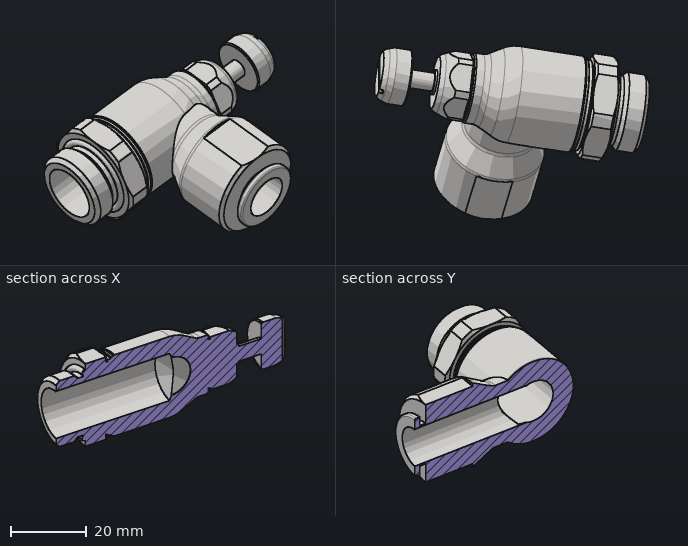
import cadquery as cq
import math

LENGTH = 71.0

THREAD_RADIUS = 10.5
THREAD_END = 5.7
THREAD_CHAMFER = 1.15
NECK_RADIUS = 9.4
SEAL_RING_RADIUS = 10.3
SEAL_SECTION_RADIUS = 1.0

HEX_START = 9.0
HEX_END = 15.55
HEX_FLAT = 13.1
HEX_CORNER_RADIUS = 14.2
HEX_CHAMFER_ANGLE = 30.0

GROOVE_RADIUS = 11.6
COLLAR_START = 15.9
COLLAR_RADIUS = 12.15
COLLAR_END = 17.0
BODY_START = 18.0
BODY_RADIUS = 12.9
BODY_RIM_START = 17.7
BODY_RIM_RADIUS = 12.7
BODY_RIM_END_RADIUS = 12.6
SHOULDER_START = 35.1
SHOULDER_RADIUS = 11.65
SHOULDER_END = 39.6
TAPER_END = 42.9
TAPER_RADIUS = 9.8
TOP_COLLAR_START = 44.5
TOP_COLLAR_RADIUS = 9.4
TOP_COLLAR_END = 47.15
TOP_COLLAR_CHAMFER = 0.4
TOP_GROOVE_RADIUS = 7.8

NUT_START = 47.6
NUT_END = 55.95
NUT_FLAT = 8.45
NUT_CORNER_RADIUS = 9.2
NUT_TAPER_START = 51.55
NUT_TAPER_END = 54.7
NUT_TAPER_RADIUS = 7.95
NUT_TOP_RADIUS = 7.1

FLANGE_END = 56.5
FLANGE_RADIUS = 3.35
STEM_RADIUS = 2.5
KNOB_START = 63.4
KNOB_RADIUS = 7.5
KNOB_CHAMFER = 0.35
KNOB_TAPER_START = 67.9
KNOB_TAPER_END = 69.65
KNOB_TAPER_RADIUS = 6.95
KNOB_TOP_RADIUS = 6.0
SLOT_WIDTH = 1.1
SLOT_DEPTH = 1.0

BRANCH_Y = 35.65
STUB_RADIUS = 10.0
STUB_END = 12.15
FLARE_START = 13.2
FLARE_START_RADIUS = 10.3
FLARE_END = 18.6
FLARE_END_RADIUS = 13.3
SOCKET_START = 19.45
SOCKET_RADIUS = 13.5
SOCKET_END = 34.5
SOCKET_CHAMFER = 0.9
SOCKET_FLAT = 12.6
COLLET_NECK_RADIUS = 6.6
COLLET_START = 36.15
COLLET_END = 37.9
COLLET_RADIUS = 9.4
COLLET_ROUND = 0.4

BORE_RADIUS = 7.4
TUBE_BORE_RADIUS = 5.9
DRILL_HALF_ANGLE = 70.0


def revolve_y(profile):
    """Close a (radius, Y) profile and revolve it about the Y axis."""
    return profile.close().revolve(360, (0, 0, 0), (0, 1, 0))


def hexagon(flat_distance, start, end):
    """Hexagonal prism along Y with flats facing +Z and -Z."""
    corner_diameter = 2 * flat_distance / math.cos(math.radians(30))
    plane = cq.Plane(origin=(0, start, 0), xDir=(1, 0, 0), normal=(0, 1, 0))
    return cq.Workplane(plane).polygon(6, corner_diameter).extrude(end - start)


def threaded_end():
    neck_start = THREAD_END + THREAD_RADIUS - NECK_RADIUS
    return revolve_y(
        cq.Workplane("XY")
        .lineTo(THREAD_RADIUS - THREAD_CHAMFER, 0)
        .lineTo(THREAD_RADIUS, THREAD_CHAMFER)
        .lineTo(THREAD_RADIUS, THREAD_END)
        .lineTo(NECK_RADIUS, neck_start)
        .lineTo(NECK_RADIUS, HEX_START)
        .lineTo(0, HEX_START)
    )


def seal():
    """Round sealing ring, half sunk into the face of the wrench hexagon."""
    ring = cq.Solid.makeTorus(
        SEAL_RING_RADIUS, SEAL_SECTION_RADIUS, cq.Vector(0, HEX_START, 0), cq.Vector(0, 1, 0)
    )
    return cq.Workplane(ring)


def wrench_hex():
    chamfer = (HEX_CORNER_RADIUS - HEX_FLAT) * math.tan(math.radians(HEX_CHAMFER_ANGLE))
    envelope = revolve_y(
        cq.Workplane("XY")
        .moveTo(0, HEX_START)
        .lineTo(HEX_FLAT, HEX_START)
        .lineTo(HEX_CORNER_RADIUS, HEX_START + chamfer)
        .lineTo(HEX_CORNER_RADIUS, HEX_END - chamfer)
        .lineTo(HEX_FLAT, HEX_END)
        .lineTo(0, HEX_END)
    )
    return hexagon(HEX_FLAT, HEX_START, HEX_END).intersect(envelope)


def valve_body():
    return revolve_y(
        cq.Workplane("XY")
        .moveTo(0, HEX_END)
        .lineTo(GROOVE_RADIUS, HEX_END)
        .lineTo(GROOVE_RADIUS, COLLAR_START)
        .lineTo(COLLAR_RADIUS, COLLAR_START)
        .lineTo(COLLAR_RADIUS, COLLAR_END)
        .lineTo(BODY_RIM_END_RADIUS, COLLAR_END)
        .lineTo(BODY_RIM_RADIUS, BODY_RIM_START)
        .lineTo(BODY_RADIUS, BODY_START)
        .lineTo(BODY_RADIUS, SHOULDER_START)
        .tangentArcPoint((SHOULDER_RADIUS, SHOULDER_END), relative=False)
        .lineTo(TAPER_RADIUS, TAPER_END)
        .tangentArcPoint((TOP_COLLAR_RADIUS, TOP_COLLAR_START), relative=False)
        .lineTo(TOP_COLLAR_RADIUS, TOP_COLLAR_END - TOP_COLLAR_CHAMFER)
        .lineTo(TOP_COLLAR_RADIUS - TOP_COLLAR_CHAMFER, TOP_COLLAR_END)
        .lineTo(TOP_GROOVE_RADIUS, TOP_COLLAR_END)
        .lineTo(TOP_GROOVE_RADIUS, NUT_START)
        .lineTo(0, NUT_START)
    )


def lock_nut():
    envelope = revolve_y(
        cq.Workplane("XY")
        .moveTo(0, NUT_START)
        .lineTo(NUT_CORNER_RADIUS, NUT_START)
        .lineTo(NUT_CORNER_RADIUS, NUT_TAPER_START)
        .lineTo(NUT_TAPER_RADIUS, NUT_TAPER_END)
        .tangentArcPoint((NUT_TOP_RADIUS, NUT_END), relative=False)
        .lineTo(0, NUT_END)
    )
    return hexagon(NUT_FLAT, NUT_START, NUT_END).intersect(envelope)


def stem_and_knob():
    turned = revolve_y(
        cq.Workplane("XY")
        .moveTo(0, NUT_END)
        .lineTo(FLANGE_RADIUS, NUT_END)
        .lineTo(FLANGE_RADIUS, FLANGE_END)
        .lineTo(STEM_RADIUS, FLANGE_END)
        .lineTo(STEM_RADIUS, KNOB_START)
        .lineTo(KNOB_RADIUS - KNOB_CHAMFER, KNOB_START)
        .lineTo(KNOB_RADIUS, KNOB_START + KNOB_CHAMFER)
        .lineTo(KNOB_RADIUS, KNOB_TAPER_START)
        .lineTo(KNOB_TAPER_RADIUS, KNOB_TAPER_END)
        .tangentArcPoint((KNOB_TOP_RADIUS, LENGTH), relative=False)
        .lineTo(0, LENGTH)
    )
    slot = cq.Workplane("XY").box(SLOT_WIDTH, 2 * SLOT_DEPTH, 2 * KNOB_RADIUS)
    return turned.cut(slot.translate((0, LENGTH, 0)))


def tube_branch():
    branch = (
        cq.Workplane("XY")
        .lineTo(0, STUB_RADIUS)
        .lineTo(STUB_END, STUB_RADIUS)
        .tangentArcPoint((FLARE_START, FLARE_START_RADIUS), relative=False)
        .lineTo(FLARE_END, FLARE_END_RADIUS)
        .tangentArcPoint((SOCKET_START, SOCKET_RADIUS), relative=False)
        .lineTo(SOCKET_END - SOCKET_CHAMFER, SOCKET_RADIUS)
        .lineTo(SOCKET_END, SOCKET_RADIUS - SOCKET_CHAMFER)
        .lineTo(SOCKET_END, 0)
        .close()
        .revolve(360, (0, 0, 0), (1, 0, 0))
    )
    flat_length = SOCKET_END - SOCKET_START
    for side in (1, -1):
        cutter = cq.Workplane("XY").box(flat_length, 2 * SOCKET_RADIUS, SOCKET_RADIUS)
        cutter = cutter.translate(
            (SOCKET_START + flat_length / 2, 0, side * (SOCKET_FLAT + SOCKET_RADIUS / 2))
        )
        branch = branch.cut(cutter)
    neck = (
        cq.Workplane("YZ", origin=(SOCKET_END, 0, 0))
        .circle(COLLET_NECK_RADIUS)
        .extrude(COLLET_START - SOCKET_END)
    )
    collet = (
        cq.Workplane("YZ", origin=(COLLET_START, 0, 0))
        .circle(COLLET_RADIUS)
        .extrude(COLLET_END - COLLET_START)
        .edges()
        .fillet(COLLET_ROUND)
    )
    return branch.union(neck).union(collet).translate((0, BRANCH_Y, 0))


def bores():
    """Thread bore and tube bore, both with conical drill tips."""
    slope = math.tan(math.radians(DRILL_HALF_ANGLE))
    cone_start = BRANCH_Y - (BORE_RADIUS - TUBE_BORE_RADIUS) / slope
    thread_bore = revolve_y(
        cq.Workplane("XY")
        .lineTo(BORE_RADIUS, 0)
        .lineTo(BORE_RADIUS, cone_start)
        .lineTo(0, cone_start + BORE_RADIUS / slope)
    )
    tube_bore = (
        cq.Workplane("XY")
        .moveTo(-TUBE_BORE_RADIUS / slope, 0)
        .lineTo(0, TUBE_BORE_RADIUS)
        .lineTo(COLLET_END, TUBE_BORE_RADIUS)
        .lineTo(COLLET_END, 0)
        .close()
        .revolve(360, (0, 0, 0), (1, 0, 0))
        .translate((0, BRANCH_Y, 0))
    )
    return thread_bore.union(tube_bore)


result = (
    valve_body()
    .union(threaded_end())
    .union(wrench_hex())
    .union(seal())
    .union(lock_nut())
    .union(stem_and_knob())
    .union(tube_branch())
    .cut(bores())
)